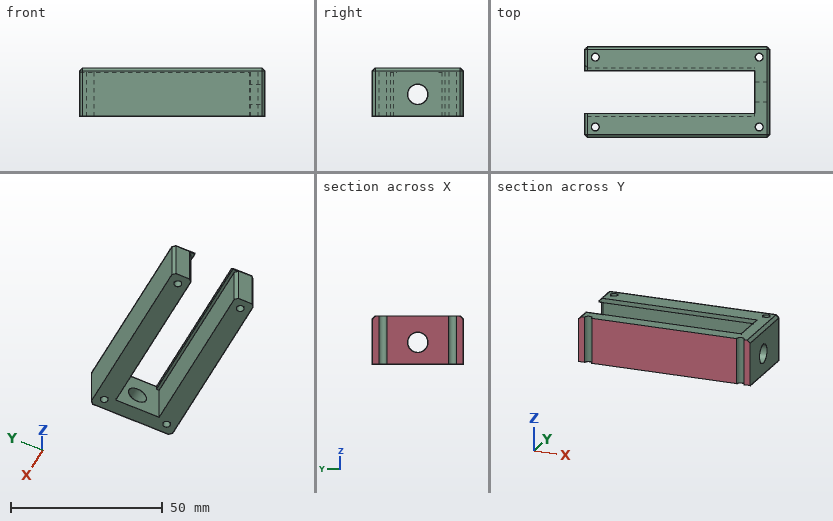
import cadquery as cq

LENGTH = 61.0
WIDTH = 30.0
HEIGHT = 16.0
EDGE_CHAMFER = 1.0

END_WALL = 5.0
CHANNEL_WIDTH = 16.0
LIP_OPENING = 14.0
LIP_THICKNESS = 1.5
MOUTH_CHAMFER = 1.0

SCREW_DIAMETER = 2.5
SCREW_INSET = 3.5

CABLE_DIAMETER = 6.6

MOUTH_X = -LENGTH / 2
CHANNEL_END_X = LENGTH / 2 - END_WALL
CHANNEL_HEIGHT = HEIGHT - LIP_THICKNESS
CABLE_HEIGHT = CHANNEL_HEIGHT / 2


def chamfered_block():
    """Block with bevelled upright and top edges; the bottom edges stay sharp."""
    block = cq.Workplane("XY").box(LENGTH, WIDTH, HEIGHT, centered=(True, True, False))
    return block.edges("|Z or >Z").chamfer(EDGE_CHAMFER)


def channel():
    """Wide channel below the lips, flared at its mouth."""
    half_width = CHANNEL_WIDTH / 2
    half_mouth = half_width + MOUTH_CHAMFER
    flare_end_x = MOUTH_X + MOUTH_CHAMFER
    outline = [
        (MOUTH_X, -half_mouth),
        (flare_end_x, -half_width),
        (CHANNEL_END_X, -half_width),
        (CHANNEL_END_X, half_width),
        (flare_end_x, half_width),
        (MOUTH_X, half_mouth),
    ]
    return cq.Workplane("XY").polyline(outline).close().extrude(CHANNEL_HEIGHT)


def lip_slot():
    """Narrow slot that opens the channel through the top, leaving a lip on each side."""
    return (
        cq.Workplane("XY")
        .box(LENGTH - END_WALL, LIP_OPENING, HEIGHT, centered=(False, True, False))
        .translate((MOUTH_X, 0, 0))
    )


def screw_holes():
    """Four through holes set in equally from the sides of the block."""
    return (
        cq.Workplane("XY")
        .rect(LENGTH - 2 * SCREW_INSET, WIDTH - 2 * SCREW_INSET, forConstruction=True)
        .vertices()
        .circle(SCREW_DIAMETER / 2)
        .extrude(HEIGHT)
    )


def cable_hole():
    """Round hole along X through the end wall."""
    return (
        cq.Workplane("YZ", origin=(CHANNEL_END_X, 0, 0))
        .center(0, CABLE_HEIGHT)
        .circle(CABLE_DIAMETER / 2)
        .extrude(END_WALL)
    )


result = (
    chamfered_block()
    .cut(channel())
    .cut(lip_slot())
    .cut(screw_holes())
    .cut(cable_hole())
)